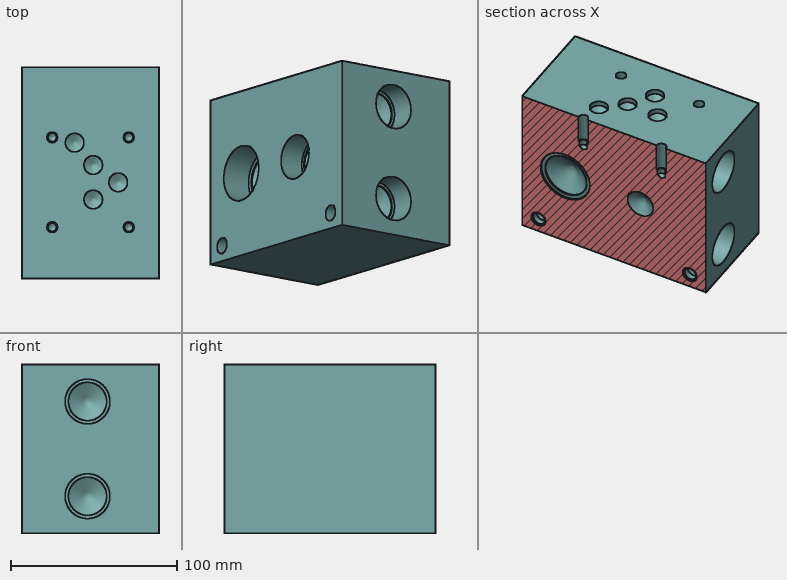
import cadquery as cq
import math

WIDTH = 82.5
LENGTH = 127.0
HEIGHT = 101.6

POINT_ANGLE = 118.0

DRILL_LIP = 0.8
PORT_BORE = 26.9
PORT_DRILL = 23.0
PORT_BORE_DEPTH = 15.9
TANK_BORE = 33.7
TANK_DRILL = 28.6
TANK_BORE_DEPTH = 19.0

AB_X = 39.5
AB_EDGE_OFFSET = 22.4

TANK_Y = 97.3
PRESSURE_Y = 45.3

MOUNT_BORE = 9.5
MOUNT_DRILL = 7.9
MOUNT_BORE_DEPTH = 19.0
MOUNT_DRILL_DEPTH = 22.9
MOUNT_EDGE_OFFSET = 11.2
MOUNT_Z = 9.5

BOLT_BORE = 6.4
BOLT_DRILL = 5.1
BOLT_BORE_DEPTH = 19.0
BOLT_DRILL_DEPTH = 22.9
BOLT_SPACING_X = 46.0
BOLT_SPACING_Y = 54.0
BOLT_FIRST_X = 18.3
BOLT_FIRST_Y = 30.9
PASSAGE_DIAMETER = 11.2
PASSAGE_DEPTH = 3.3
PASSAGE_CENTERS = [(31.8, 81.7), (42.9, 68.2), (57.9, 57.8), (42.9, 47.5)]

INTO_FRONT = (0, 1, 0)
INTO_SIDE = (1, 0, 0)
INTO_TOP = (0, 0, -1)


def drilled_hole(mouth, direction, steps):
    """Cutter for a stepped hole; steps lists (diameter, depth from the mouth), ending in a cone."""
    outline = cq.Workplane("XZ").moveTo(0, 0)
    step_top = 0.0
    for diameter, step_bottom in steps:
        outline = outline.lineTo(diameter / 2, step_top)
        outline = outline.lineTo(diameter / 2, step_bottom)
        step_top = step_bottom
    last_diameter, last_depth = steps[-1]
    cone_height = last_diameter / 2 / math.tan(math.radians(POINT_ANGLE / 2))
    outline = outline.lineTo(0, last_depth + cone_height).close()
    cutter = outline.revolve(360, (0, 0), (0, 1)).val()
    return cutter.moved(cq.Plane(origin=mouth, normal=direction).location)


port_steps = [(PORT_BORE, PORT_BORE_DEPTH), (PORT_DRILL, PORT_BORE_DEPTH + DRILL_LIP)]
tank_steps = [(TANK_BORE, TANK_BORE_DEPTH), (TANK_DRILL, TANK_BORE_DEPTH + DRILL_LIP)]
mount_steps = [(MOUNT_BORE, MOUNT_BORE_DEPTH), (MOUNT_DRILL, MOUNT_DRILL_DEPTH)]
bolt_steps = [(BOLT_BORE, BOLT_BORE_DEPTH), (BOLT_DRILL, BOLT_DRILL_DEPTH)]
passage_steps = [(PASSAGE_DIAMETER, PASSAGE_DEPTH)]

result = cq.Workplane("XY").box(WIDTH, LENGTH, HEIGHT, centered=False)

for z in (AB_EDGE_OFFSET, HEIGHT - AB_EDGE_OFFSET):
    result = result.cut(drilled_hole((AB_X, 0, z), INTO_FRONT, port_steps))

result = result.cut(drilled_hole((0, TANK_Y, HEIGHT / 2), INTO_SIDE, tank_steps))
result = result.cut(drilled_hole((0, PRESSURE_Y, HEIGHT / 2), INTO_SIDE, port_steps))

for y in (MOUNT_EDGE_OFFSET, LENGTH - MOUNT_EDGE_OFFSET):
    result = result.cut(drilled_hole((0, y, MOUNT_Z), INTO_SIDE, mount_steps))

for x in (BOLT_FIRST_X, BOLT_FIRST_X + BOLT_SPACING_X):
    for y in (BOLT_FIRST_Y, BOLT_FIRST_Y + BOLT_SPACING_Y):
        result = result.cut(drilled_hole((x, y, HEIGHT), INTO_TOP, bolt_steps))

for x, y in PASSAGE_CENTERS:
    result = result.cut(drilled_hole((x, y, HEIGHT), INTO_TOP, passage_steps))